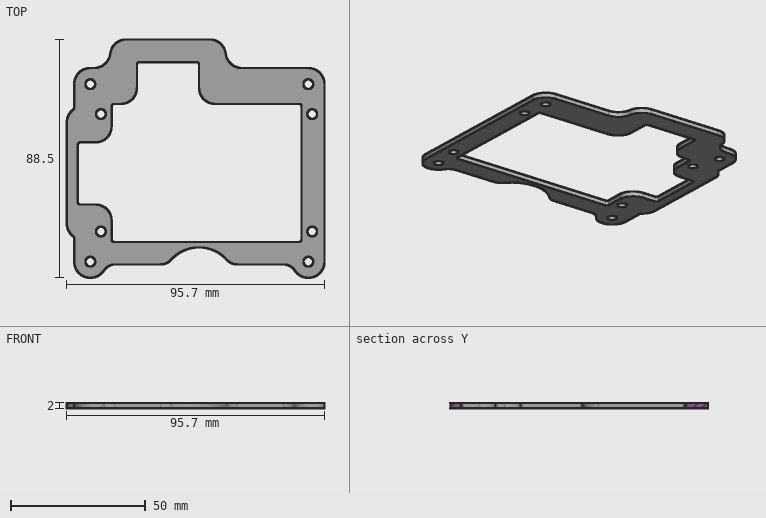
import cadquery as cq
import math

LENGTH = 95.7
WIDTH = 88.5
THICKNESS = 2.0

HOLE_DIAMETER = 3.5
CORNER_HOLE_X = (8.8, 89.7)
CORNER_HOLE_Y = (6.0, 71.9)
INNER_HOLE_X = (12.7, 91.1)
INNER_HOLE_Y = (17.2, 60.8)

CORNER_RADIUS = 6.0
SHOULDER_Y = CORNER_HOLE_Y[1] + CORNER_RADIUS
LUG_LEFT_X = CORNER_HOLE_X[0] - CORNER_RADIUS
BOTTOM_EDGE_Y = 5.0
BOTTOM_BLEND_RADIUS = 5.0
SCALLOP_X = 49.1
SCALLOP_TOP_Y = 11.3
SCALLOP_RADIUS = 14.0
TOP_TAB_CENTER_X = 37.6
TOP_TAB_WIDTH = 43.0
LEFT_BULGE_BLEND_RADIUS = 1.0
LEFT_BULGE_Y = (20.3, 57.6)

WINDOW_X = (16.7, 87.1)
WINDOW_Y = (13.4, 64.5)
TOP_NOTCH_WIDTH = 23.0
TOP_NOTCH_END_Y = 80.0
LEFT_NOTCH_END_X = 4.2
LEFT_NOTCH_Y = (27.3, 50.2)
WINDOW_CORNER_RADIUS = 0.8
NOTCH_MOUTH_RADIUS = 6.0

TOUCH_TOLERANCE = 0.0001


def leg(hypotenuse, other_leg):
    """Remaining side of a right triangle, zero where rounding makes it imaginary."""
    return math.sqrt(max(hypotenuse**2 - other_leg**2, 0.0))


def edge_normal(start, end):
    """Left normal and length of the line from one (x, y, radius) arc tangent to the next."""
    dx = end[0] - start[0]
    dy = end[1] - start[1]
    offset = end[2] - start[2]
    distance_squared = dx**2 + dy**2
    length = leg(math.sqrt(distance_squared), offset)
    normal = cq.Vector(dx * offset - dy * length, dy * offset + dx * length).multiply(1 / distance_squared)
    return normal.normalized(), length


def tangent_outline(arcs):
    """Closed counterclockwise outline of tangent arcs and lines.

    Each arc is (x, y, radius); a positive radius turns left, a negative one turns right.
    """
    edges = [edge_normal(arc, arcs[(i + 1) % len(arcs)]) for i, arc in enumerate(arcs)]
    center = cq.Vector(*arcs[0][:2])
    start = center - edges[-1][0] * arcs[0][2]
    path = cq.Workplane("XY").moveTo(start.x, start.y)
    for i, (x, y, radius) in enumerate(arcs):
        center = cq.Vector(x, y)
        normal_in = edges[i - 1][0]
        normal_out, length = edges[i]
        middle = center - (normal_in + normal_out).normalized() * radius
        end = center - normal_out * radius
        path = path.threePointArc((middle.x, middle.y), (end.x, end.y))
        if length > TOUCH_TOLERANCE and i < len(arcs) - 1:
            next_x, next_y, next_radius = arcs[i + 1]
            line_end = cq.Vector(next_x, next_y) - normal_out * next_radius
            path = path.lineTo(line_end.x, line_end.y)
    return path.close()


def plate():
    left, right = CORNER_HOLE_X
    lower, upper = CORNER_HOLE_Y
    r = CORNER_RADIUS

    blend = BOTTOM_BLEND_RADIUS
    lug_blend_y = BOTTOM_EDGE_Y - blend
    lug_blend_dx = leg(r + blend, lower - lug_blend_y)

    scallop_y = SCALLOP_TOP_Y - SCALLOP_RADIUS
    scallop_end_y = BOTTOM_EDGE_Y + blend
    scallop_dx = leg(SCALLOP_RADIUS + blend, scallop_end_y - scallop_y)

    tab_y = WIDTH - r
    tab_foot_y = SHOULDER_Y + r
    tab_dx = TOP_TAB_WIDTH / 2 - r
    tab_foot_dx = tab_dx + leg(2 * r, tab_foot_y - tab_y)

    step = LEFT_BULGE_BLEND_RADIUS
    step_x = LUG_LEFT_X - step
    step_dy = leg(r + step, r - step_x)
    bulge_lower, bulge_upper = LEFT_BULGE_Y

    return tangent_outline([
        (left, lower, r),
        (left + lug_blend_dx, lug_blend_y, -blend),
        (SCALLOP_X - scallop_dx, scallop_end_y, blend),
        (SCALLOP_X, scallop_y, -SCALLOP_RADIUS),
        (SCALLOP_X + scallop_dx, scallop_end_y, blend),
        (right - lug_blend_dx, lug_blend_y, -blend),
        (LENGTH - r, lower, r),
        (LENGTH - r, upper, r),
        (TOP_TAB_CENTER_X + tab_foot_dx, tab_foot_y, -r),
        (TOP_TAB_CENTER_X + tab_dx, tab_y, r),
        (TOP_TAB_CENTER_X - tab_dx, tab_y, r),
        (TOP_TAB_CENTER_X - tab_foot_dx, tab_foot_y, -r),
        (left, upper, r),
        (step_x, bulge_upper + step_dy, -step),
        (r, bulge_upper, r),
        (r, bulge_lower, r),
        (step_x, bulge_lower - step_dy, -step),
    ]).extrude(THICKNESS)


def window():
    left, right = WINDOW_X
    bottom, top = WINDOW_Y
    notch_bottom, notch_top = LEFT_NOTCH_Y
    notch_left = TOP_TAB_CENTER_X - TOP_NOTCH_WIDTH / 2
    notch_right = TOP_TAB_CENTER_X + TOP_NOTCH_WIDTH / 2
    c = WINDOW_CORNER_RADIUS
    m = NOTCH_MOUTH_RADIUS
    return tangent_outline([
        (left + c, bottom + c, c),
        (right - c, bottom + c, c),
        (right - c, top - c, c),
        (notch_right + m, top + m, -m),
        (notch_right - c, TOP_NOTCH_END_Y - c, c),
        (notch_left + c, TOP_NOTCH_END_Y - c, c),
        (notch_left - m, top + m, -m),
        (left + c, top - c, c),
        (left - m, notch_top + m, -m),
        (LEFT_NOTCH_END_X + c, notch_top - c, c),
        (LEFT_NOTCH_END_X + c, notch_bottom + c, c),
        (left - m, notch_bottom - m, -m),
    ]).extrude(THICKNESS)


def mounting_holes():
    corner = [(x, y) for x in CORNER_HOLE_X for y in CORNER_HOLE_Y]
    inner = [(x, y) for x in INNER_HOLE_X for y in INNER_HOLE_Y]
    return cq.Workplane("XY").pushPoints(corner + inner).circle(HOLE_DIAMETER / 2).extrude(THICKNESS)


result = plate().cut(window()).cut(mounting_holes())